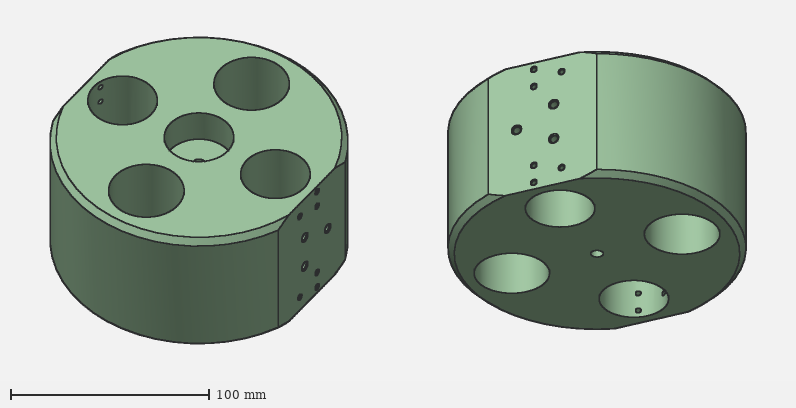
import cadquery as cq

body_diameter = 150.0
body_height = 75.0
width_across_flats = 137.77
rim_chamfer = 3.175

bore_offset = 46.67
x_bore_diameter = 35.0
y_bore_diameter = 38.0
centre_bore_diameter = 35.0
centre_bore_depth = 18.5
centre_hole_diameter = 6.35

grid = 10.16
pair_y = 4.82
single_y = pair_y - 1.5 * grid
triangle_rear_y = 14.26
triangle_front_y = triangle_rear_y - 2 * grid
single_z = 28.45
pair_half_pitch = grid / 2
small_hole_diameter = 2.7
small_countersink_diameter = 3.5
large_hole_diameter = 4.1
large_countersink_diameter = 5.4
countersink_angle = 90.0

half_width = width_across_flats / 2
half_height = body_height / 2
hole_depth = half_width - bore_offset

pair_points = [
    (pair_y, side * (single_z + shift))
    for side in (-1, 1)
    for shift in (-pair_half_pitch, pair_half_pitch)
]
single_points = [(single_y, side * single_z) for side in (-1, 1)]
triangle_points = [
    (triangle_rear_y, 0),
    (triangle_front_y, grid),
    (triangle_front_y, -grid),
]


def make_body():
    """Chamfered disc trimmed to its two flats."""
    disc = (
        cq.Workplane("XY")
        .circle(body_diameter / 2)
        .extrude(half_height, both=True)
        .edges()
        .chamfer(rim_chamfer)
    )
    return disc.intersect(cq.Workplane("XY").box(width_across_flats, body_diameter, body_height))


def cut_vertical_bores(body):
    """Four through bores, and a stepped bore in the middle."""
    top = body.faces(">Z").workplane(origin=(0, 0, half_height))
    body = top.pushPoints([(-bore_offset, 0), (bore_offset, 0)]).hole(x_bore_diameter)
    top = body.faces(">Z").workplane(origin=(0, 0, half_height))
    body = top.pushPoints([(0, -bore_offset), (0, bore_offset)]).hole(y_bore_diameter)
    top = body.faces(">Z").workplane(origin=(0, 0, half_height))
    return top.cboreHole(centre_hole_diameter, centre_bore_diameter, centre_bore_depth)


def drill_flat(body, side, points, diameter, countersink_diameter):
    """Countersunk holes at (y, z) points on the flat at +X (side 1) or -X (side -1)."""
    flat = cq.Plane(origin=(side * half_width, 0, 0), xDir=(0, 1, 0), normal=(side, 0, 0))
    local_points = [(y, side * z) for y, z in points]
    return (
        body.copyWorkplane(cq.Workplane(flat))
        .pushPoints(local_points)
        .cskHole(diameter, countersink_diameter, countersink_angle, hole_depth)
    )


small_points = pair_points + single_points
result = cut_vertical_bores(make_body())
for flat_side in (-1, 1):
    result = drill_flat(result, flat_side, small_points, small_hole_diameter, small_countersink_diameter)
    result = drill_flat(result, flat_side, triangle_points, large_hole_diameter, large_countersink_diameter)